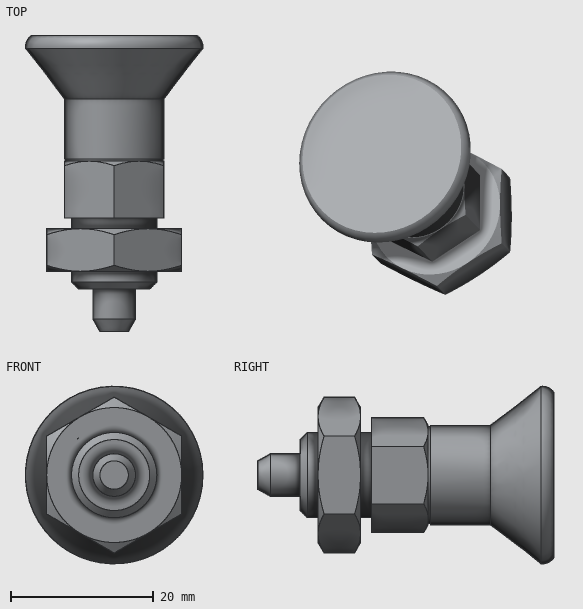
import cadquery as cq
import math

pin_diameter = 6.0
pin_tip_diameter = 4.0
pin_tip_length = 1.8
pin_length = 6.0

body_diameter = 12.0
body_chamfer = 1.0
body_hex_size = 14.0
body_hex_start = 16.0
body_hex_length = 8.0

nut_size = 19.0
nut_start = 8.5
nut_thickness = 6.0

hex_sides = 6
hex_chamfer_angle = math.radians(30)

knob_neck_diameter = 14.0
knob_diameter = 25.0
knob_rim_height = 1.82
knob_rim_arc_radius = 2.0
knob_top_diameter = 23.26
knob_flare_length = 7.0
knob_lip = 0.12
knob_flare_sag = 0.05
total_length = 41.7

joint_diameter = 13.7
joint_width = 0.3


def hex_corner_radius(size):
    """Distance from the axis to a corner of a hexagon given across flats."""
    return size / math.sqrt(3)


def revolve_about_y(profile):
    """Close a half-profile drawn from the axis and turn it about Y."""
    return profile.close().revolve(360, (0, 0, 0), (0, 1, 0))


def hex_prism(size, start, length, chamfer_start):
    """Hexagon along +Y with corners at +/-Z, its corners turned off by 30 degree cones.

    The +Y end is always chamfered, the other end only when chamfer_start is set.
    """
    flat_radius = size / 2
    corner_radius = hex_corner_radius(size)
    chamfer_length = (corner_radius - flat_radius) * math.tan(hex_chamfer_angle)
    end = start + length

    corners = []
    for index in range(hex_sides):
        angle = math.pi / 2 + 2 * math.pi * index / hex_sides
        corners.append((corner_radius * math.cos(angle), corner_radius * math.sin(angle)))
    prism = (
        cq.Workplane("XZ", origin=(0, start, 0))
        .polyline(corners)
        .close()
        .extrude(-length)
    )

    envelope = cq.Workplane("XY").moveTo(0, start)
    if chamfer_start:
        envelope = envelope.lineTo(flat_radius, start).lineTo(corner_radius, start + chamfer_length)
    else:
        envelope = envelope.lineTo(corner_radius, start)
    envelope = (
        envelope.lineTo(corner_radius, end - chamfer_length)
        .lineTo(flat_radius, end)
        .lineTo(0, end)
    )
    return prism.intersect(revolve_about_y(envelope))


def make_pin_and_body():
    """Tapered pin, chamfered body and the narrow joint under the knob."""
    body_radius = body_diameter / 2
    joint_radius = joint_diameter / 2
    hex_end = body_hex_start + body_hex_length
    profile = (
        cq.Workplane("XY")
        .lineTo(pin_tip_diameter / 2, 0)
        .lineTo(pin_diameter / 2, pin_tip_length)
        .lineTo(pin_diameter / 2, pin_length)
        .lineTo(body_radius - body_chamfer, pin_length)
        .lineTo(body_radius, pin_length + body_chamfer)
        .lineTo(body_radius, hex_end)
        .lineTo(joint_radius, hex_end)
        .lineTo(joint_radius, hex_end + joint_width)
        .lineTo(0, hex_end + joint_width)
    )
    return revolve_about_y(profile)


def make_knob():
    """Cylindrical neck, slightly hollow flare, fine lip and rounded rim."""
    neck_radius = knob_neck_diameter / 2
    rim_radius = knob_diameter / 2
    neck_start = body_hex_start + body_hex_length + joint_width
    rim_start = total_length - knob_rim_height
    flare_end = rim_start - knob_lip
    flare_start = flare_end - knob_flare_length
    profile = (
        cq.Workplane("XY")
        .moveTo(0, neck_start)
        .lineTo(neck_radius, neck_start)
        .lineTo(neck_radius, flare_start)
        .sagittaArc((rim_radius - knob_lip, flare_end), knob_flare_sag)
        .lineTo(rim_radius, rim_start)
        .radiusArc((knob_top_diameter / 2, total_length), -knob_rim_arc_radius)
        .lineTo(0, total_length)
    )
    return revolve_about_y(profile)


nut = hex_prism(nut_size, nut_start, nut_thickness, chamfer_start=True)
body_hex = hex_prism(body_hex_size, body_hex_start, body_hex_length, chamfer_start=False)
result = make_pin_and_body().union(body_hex).union(nut).union(make_knob())